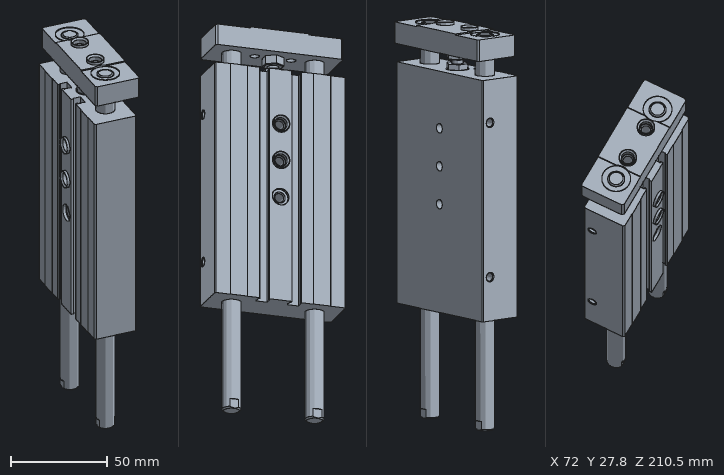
import cadquery as cq
import math


overall_height = 210.5
sleeve_stand = 1.5
yoke_top = overall_height - sleeve_stand
yoke_thickness = 12.0
yoke_bottom = yoke_top - yoke_thickness
stroke_gap = 10.0
housing_top = yoke_bottom - stroke_gap
housing_height = 127.0
housing_bottom = housing_top - housing_height

housing_width = 72.0
housing_depth = 24.0
housing_front = -housing_depth / 2
front_recess = 0.2
corner_width = 0.6
corner_depth = 1.3
back_chamfer = 0.6
centre_strip_width = 12.5
rod_strip_width = 9.5
groove_width = 5.3
groove_depth = 5.5
groove_lip = 1.5
groove_undercut = 0.6
groove_lip_chamfer = 0.5

hole_pitch = 20.0
first_hole_z = housing_top - 30.0
front_hole_zs = [first_hole_z - i * hole_pitch for i in range(3)]
sleeved_front_zs = front_hole_zs[:2]
screw_diameter = 4.8
screw_countersink = 6.0
sleeve_diameter = 9.0
sleeve_bore = 6.7
sleeve_mouth = 8.6
sleeve_seat_depth = 1.7

port_diameter = 4.2
port_chamfer = 0.5
port_depth = 6.3
port_y = 7.2
port_zs = [housing_bottom + 23.1, housing_top - 22.7]
port_tip_angle = 118

rod_diameter = 10.0
rod_spacing = 45.7
rod_xs = [-rod_spacing / 2, rod_spacing / 2]
rod_end_chamfer = 0.8
flat_distance = 8.8
flat_height = 5.0
neck_diameter = 8.8
neck_chamfer = 0.8

yoke_width = 70.0
yoke_front = -10.7
yoke_back = 14.3
yoke_front_chamfer = 1.0
yoke_back_chamfer = 0.8
raised_width = 32.5
raised_step = 0.6
rod_spot_diameter = 15.0
rod_spot_depth = 0.5
yoke_hole_xs = [-hole_pitch / 2, hole_pitch / 2]

hex_across_flats = 10.0
piston_neck_diameter = 6.0
lower_hex_height = 3.0
upper_hex_chamfer = 0.5
piston_neck_height = 2.3
piston_rod_diameter = 12.0
piston_rod_insertion = 21.0


def block(x_min, x_max, y_min, y_max, z_min, z_max):
    """Box between two opposite corners."""
    return (
        cq.Workplane("XY")
        .box(x_max - x_min, y_max - y_min, z_max - z_min, centered=False)
        .translate((x_min, y_min, z_min))
    )


def along_z(diameter, x, z_min, z_max):
    """Upright cylinder in the plane Y = 0."""
    return cq.Workplane("XY", origin=(x, 0, z_min)).circle(diameter / 2).extrude(z_max - z_min)


def seated_hole(length):
    """Cutter along -Z for a screw hole with a countersink and a sleeve seat at its mouth, at Z = 0."""
    seat = cq.Workplane("XY").circle(sleeve_diameter / 2).extrude(-sleeve_seat_depth)
    screw = cq.Workplane("XY").circle(screw_diameter / 2).extrude(-length)
    sink_depth = (screw_countersink - screw_diameter) / 2
    sink = (
        cq.Workplane("XY", origin=(0, 0, -sleeve_seat_depth))
        .circle(screw_countersink / 2)
        .workplane(offset=-sink_depth)
        .circle(screw_diameter / 2)
        .loft()
    )
    return seat.union(screw).union(sink)


def face_front(shape, z):
    """Turn a shape made about Z so that its +Z end points to the front, at height z on the housing."""
    return shape.rotate((0, 0, 0), (1, 0, 0), 90).translate((0, housing_front, z))


def make_housing():
    half = housing_width / 2
    field = housing_front + front_recess
    outline = [
        (-half, housing_front + corner_depth),
        (-half + corner_width, field),
        (half - corner_width, field),
        (half, housing_front + corner_depth),
        (half, -housing_front - back_chamfer),
        (half - back_chamfer, -housing_front),
        (-half + back_chamfer, -housing_front),
        (-half, -housing_front - back_chamfer),
    ]
    body = (
        cq.Workplane("XY", origin=(0, 0, housing_bottom)).polyline(outline).close().extrude(housing_height)
    )

    strips = [(x, rod_strip_width) for x in rod_xs] + [(0, centre_strip_width)]
    for x, width in strips:
        body = body.union(
            block(x - width / 2, x + width / 2, housing_front, 0, housing_bottom, housing_top)
        )

    inner_x = centre_strip_width / 2
    outer_x = inner_x + groove_width
    mouth_x = outer_x - groove_lip_chamfer
    lip_y = housing_front + groove_lip
    back_y = housing_front + groove_depth
    groove_profile = [
        (inner_x, housing_front),
        (inner_x, lip_y),
        (inner_x - groove_undercut, lip_y),
        (inner_x - groove_undercut, back_y),
        (mouth_x + groove_undercut, back_y),
        (mouth_x + groove_undercut, lip_y),
        (mouth_x, lip_y),
        (mouth_x, field + groove_lip_chamfer),
        (outer_x, field),
        (outer_x, housing_front),
    ]
    groove = (
        cq.Workplane("XY", origin=(0, 0, housing_bottom))
        .polyline(groove_profile)
        .close()
        .extrude(housing_height)
    )
    body = body.cut(groove).cut(groove.mirror("YZ"))

    for x in rod_xs:
        body = body.cut(along_z(rod_diameter, x, housing_bottom, housing_top))
    body = body.cut(make_piston_rod())
    for z in front_hole_zs:
        body = body.cut(face_front(seated_hole(housing_depth), z))
    for z in port_zs:
        body = body.cut(port_cutter(z))
    return body


def port_cutter(z):
    """Blind drilled hole with a conical end and a chamfered mouth."""
    radius = port_diameter / 2
    tip_length = radius / math.tan(math.radians(port_tip_angle / 2))
    profile = [
        (0, 0),
        (0, radius + port_chamfer),
        (port_chamfer, radius),
        (port_depth, radius),
        (port_depth + tip_length, 0),
    ]
    return (
        cq.Workplane("XY")
        .polyline(profile)
        .close()
        .revolve(360, (0, 0, 0), (1, 0, 0))
        .translate((-housing_width / 2, port_y, z))
    )


def make_yoke():
    """Yoke plate with the piston rod that hangs below it."""
    half = yoke_width / 2
    body = block(-half, half, yoke_front, yoke_back, yoke_bottom, yoke_top)
    body = body.edges("|Z and <Y").chamfer(yoke_front_chamfer)
    body = body.edges("|Z and >Y").chamfer(yoke_back_chamfer)

    end_top = yoke_top - raised_step
    for x_min, x_max in [(-half, -raised_width / 2), (raised_width / 2, half)]:
        body = body.cut(block(x_min, x_max, yoke_front, yoke_back, end_top, yoke_top))

    spot_floor = end_top - rod_spot_depth
    for x in rod_xs:
        body = body.cut(along_z(rod_spot_diameter, x, spot_floor, yoke_top))
        body = body.cut(along_z(neck_diameter, x, yoke_bottom, yoke_top))
    for x in yoke_hole_xs:
        body = body.cut(seated_hole(yoke_thickness).translate((x, 0, yoke_top)))
    return body.union(make_piston_rod())


def make_piston_rod():
    """Round shank in the housing, carrying the two hexagons and the neck up to the yoke."""
    corner_diameter = hex_across_flats / math.cos(math.radians(30))
    neck_bottom = housing_top + lower_hex_height
    neck_top = neck_bottom + piston_neck_height

    def hexagon(z_min, z_max):
        return (
            cq.Workplane("XY", origin=(0, 0, z_min))
            .polygon(6, corner_diameter)
            .extrude(z_max - z_min)
            .rotate((0, 0, 0), (0, 0, 1), 90)
        )

    lower = hexagon(housing_top, neck_bottom)
    upper = hexagon(neck_top, yoke_bottom).faces("<Z").chamfer(upper_hex_chamfer)
    shank = along_z(piston_rod_diameter, 0, housing_top - piston_rod_insertion, housing_top)
    return shank.union(lower).union(along_z(piston_neck_diameter, 0, neck_bottom, neck_top)).union(upper)


def make_rod(x):
    """Guide rod with two flats at its lower end and a neck that passes through the yoke."""
    neck_top = yoke_top - raised_step
    neck = along_z(neck_diameter, x, yoke_bottom, neck_top).faces(">Z").chamfer(neck_chamfer)
    shaft = along_z(rod_diameter, x, 0, yoke_bottom).faces("<Z").chamfer(rod_end_chamfer)
    for y_min, y_max in [(-rod_diameter, -flat_distance / 2), (flat_distance / 2, rod_diameter)]:
        shaft = shaft.cut(block(x - rod_diameter, x + rod_diameter, y_min, y_max, 0, flat_height))
    return shaft.union(neck)


def make_sleeve():
    """Locating sleeve about Z, with the face of its seat's mouth at Z = 0."""
    return (
        cq.Workplane("XY", origin=(0, 0, -sleeve_seat_depth))
        .circle(sleeve_diameter / 2)
        .circle(sleeve_bore / 2)
        .extrude(sleeve_seat_depth + sleeve_stand)
        .faces(">Z")
        .edges(cq.selectors.RadiusNthSelector(0))
        .chamfer((sleeve_mouth - sleeve_bore) / 2)
    )


housing = make_housing()
yoke = make_yoke()
rods = [make_rod(x) for x in rod_xs]
front_sleeves = [face_front(make_sleeve(), z) for z in sleeved_front_zs]
yoke_sleeves = [make_sleeve().translate((x, 0, yoke_top)) for x in yoke_hole_xs]

bodies = [housing, yoke, *rods, *front_sleeves, *yoke_sleeves]
result = cq.Compound.makeCompound([body.val() for body in bodies])